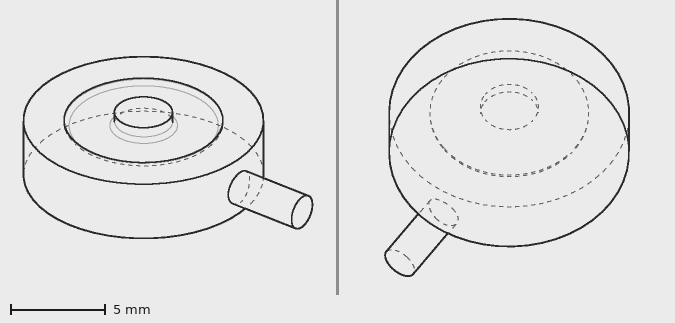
import cadquery as cq

HOUSING_DIAMETER = 12.7
HOUSING_HEIGHT = 3.39
HOUSING_RADIUS = HOUSING_DIAMETER / 2

RECESS_DIAMETER = 8.4
RECESS_DEPTH = 0.3
FOOT_RADIUS = 0.25
RECESS_RADIUS = RECESS_DIAMETER / 2
RECESS_FLOOR = HOUSING_HEIGHT - RECESS_DEPTH

BUTTON_DIAMETER = 3.07
TOTAL_HEIGHT = 3.95
DOME_HEIGHT = 0.05
BUTTON_RADIUS = BUTTON_DIAMETER / 2
BUTTON_EDGE_HEIGHT = TOTAL_HEIGHT - DOME_HEIGHT

TOTAL_LENGTH = 16.79
CABLE_DIAMETER = 1.86
CABLE_AXIS_HEIGHT = 1.58
CABLE_END = TOTAL_LENGTH - HOUSING_RADIUS


def make_housing():
    """Revolve the half section of the housing, recess and domed button."""
    foot_sagitta = FOOT_RADIUS * (1 - 0.5 ** 0.5)
    dome_radius = (BUTTON_RADIUS ** 2 + DOME_HEIGHT ** 2) / (2 * DOME_HEIGHT)
    mid_radius = BUTTON_RADIUS / 2
    mid_height = TOTAL_HEIGHT - dome_radius + (dome_radius ** 2 - mid_radius ** 2) ** 0.5
    return (
        cq.Workplane("XZ")
        .lineTo(HOUSING_RADIUS, 0)
        .lineTo(HOUSING_RADIUS, HOUSING_HEIGHT)
        .lineTo(RECESS_RADIUS, HOUSING_HEIGHT)
        .lineTo(RECESS_RADIUS, RECESS_FLOOR + FOOT_RADIUS)
        .threePointArc(
            (RECESS_RADIUS - foot_sagitta, RECESS_FLOOR + foot_sagitta),
            (RECESS_RADIUS - FOOT_RADIUS, RECESS_FLOOR),
        )
        .lineTo(BUTTON_RADIUS + FOOT_RADIUS, RECESS_FLOOR)
        .threePointArc(
            (BUTTON_RADIUS + foot_sagitta, RECESS_FLOOR + foot_sagitta),
            (BUTTON_RADIUS, RECESS_FLOOR + FOOT_RADIUS),
        )
        .lineTo(BUTTON_RADIUS, BUTTON_EDGE_HEIGHT)
        .threePointArc((mid_radius, mid_height), (0, TOTAL_HEIGHT))
        .close()
        .revolve(360, (0, 0, 0), (0, 1, 0))
    )


def make_cable():
    """Round cable whose inner end is shaped to sit against the housing wall."""
    cable = (
        cq.Workplane("YZ")
        .center(0, CABLE_AXIS_HEIGHT)
        .circle(CABLE_DIAMETER / 2)
        .extrude(CABLE_END)
    )
    housing_envelope = cq.Workplane("XY").circle(HOUSING_RADIUS).extrude(HOUSING_HEIGHT)
    return cable.cut(housing_envelope)


housing = make_housing()
cable = make_cable()

result = cq.Compound.makeCompound([housing.val(), cable.val()])